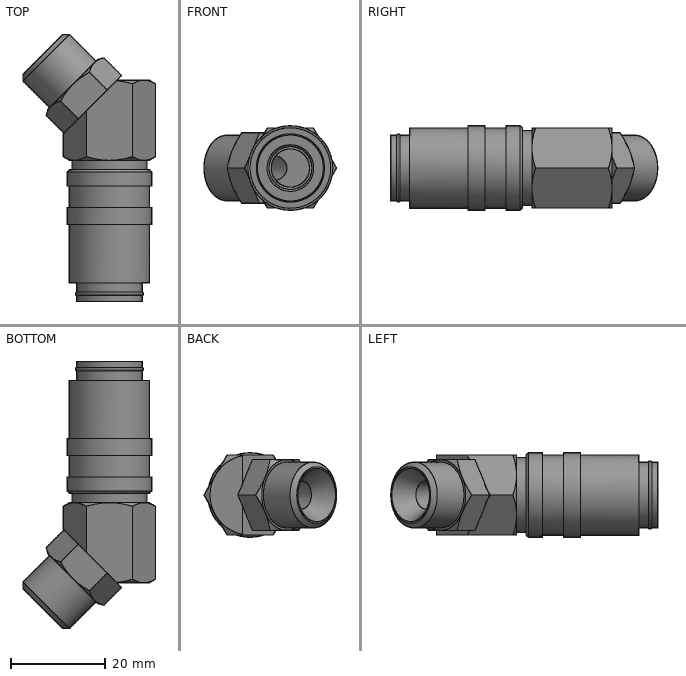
import cadquery as cq
import math

OUTLET_ANGLE = 45.0
ELBOW_Y = 38.34

SPIGOT_DIAMETER = 14.0
SPIGOT_LENGTH = 4.0
SLEEVE_DIAMETER = 17.1
COLLAR_DIAMETER = 18.0
LOWER_COLLAR_START = 16.4
LOWER_COLLAR_END = 20.0
UPPER_COLLAR_START = 24.5
UPPER_COLLAR_END = 28.0
COLLAR_CHAMFER = 0.5
NECK_DIAMETER = 16.0

RING_OUTER_DIAMETER = 14.5
RING_SECTION_RADIUS = 0.4
RING_Y = 1.65

HEX_SIDES = 6
BODY_HEX_FLATS = 17.0
BODY_HEX_START = 30.0
BODY_HEX_END = 47.0
NUT_FLATS = 15.0
NUT_START = 5.0
NUT_END = 11.0
HEX_CHAMFER_ANGLE = 30.0

STUB_DIAMETER = 14.0
STUB_END = 20.0
STUB_CHAMFER = 1.0

MOUTH_DIAMETER = 9.9
COUPLING_BORE_DIAMETER = 9.1
COUPLING_BORE_DEPTH = 20.0
BORE_DIAMETER = 8.1
BORE_DEPTH = 43.3

OUTLET_BORE_DIAMETER = 6.0
SEAT_DIAMETER = 11.3
SEAT_HALF_ANGLE = 30.0

CUT_SIZE = 100.0


def across_corners(flats):
    return flats / math.cos(math.pi / HEX_SIDES)


def revolve_profile(points):
    """Turn (radius, y) points around the Y axis."""
    return cq.Workplane("XY").polyline(points).close().revolve(360, (0, 0, 0), (0, 1, 0))


def cylinder(diameter, start, end):
    radius = diameter / 2
    return revolve_profile([(0, start), (radius, start), (radius, end), (0, end)])


def hexagon(flats, start, end):
    """Hexagonal bar along Y with two corners in the XY plane."""
    bar = cq.Workplane("XZ", origin=(0, start, 0)).polygon(HEX_SIDES, across_corners(flats))
    return bar.extrude(start - end)


def corner_chamfer_limit(flats, start, end, chamfer_both_ends):
    """Turned envelope that takes the corners off a hexagonal bar at its far end or at both ends."""
    face_radius = flats / 2
    corner_radius = across_corners(flats) / 2
    depth = (corner_radius - face_radius) * math.tan(math.radians(HEX_CHAMFER_ANGLE))
    points = [(0, end), (face_radius, end), (corner_radius, end - depth)]
    if chamfer_both_ends:
        points += [(corner_radius, start + depth), (face_radius, start)]
    else:
        points += [(corner_radius, start)]
    return revolve_profile(points + [(0, start)])


def chamfered_hexagon(flats, start, end, chamfer_both_ends):
    return hexagon(flats, start, end).intersect(corner_chamfer_limit(flats, start, end, chamfer_both_ends))


def to_outlet_axis(solid):
    """Move a solid built along +Y from the origin onto the outlet axis."""
    return solid.rotate((0, 0, 0), (0, 0, 1), OUTLET_ANGLE).translate((0, ELBOW_Y, 0))


def make_turned_body():
    spigot = SPIGOT_DIAMETER / 2
    sleeve = SLEEVE_DIAMETER / 2
    collar = COLLAR_DIAMETER / 2
    neck = NECK_DIAMETER / 2
    return revolve_profile([
        (0, 0),
        (spigot, 0),
        (spigot, SPIGOT_LENGTH),
        (sleeve, SPIGOT_LENGTH),
        (sleeve, LOWER_COLLAR_START),
        (collar, LOWER_COLLAR_START),
        (collar, LOWER_COLLAR_END),
        (sleeve, LOWER_COLLAR_END),
        (sleeve, UPPER_COLLAR_START),
        (collar, UPPER_COLLAR_START),
        (collar, UPPER_COLLAR_END - COLLAR_CHAMFER),
        (collar - COLLAR_CHAMFER, UPPER_COLLAR_END),
        (neck, UPPER_COLLAR_END),
        (neck, BODY_HEX_START),
        (0, BODY_HEX_START),
    ])


def make_sealing_ring():
    center_radius = RING_OUTER_DIAMETER / 2 - RING_SECTION_RADIUS
    section = cq.Workplane("XY").center(center_radius, RING_Y).circle(RING_SECTION_RADIUS)
    return section.revolve(360, (-center_radius, 0, 0), (-center_radius, 1, 0))


def make_body_hex():
    """Hexagonal body, cut off square to the outlet axis where the nut sits."""
    body = chamfered_hexagon(BODY_HEX_FLATS, BODY_HEX_START, BODY_HEX_END, True)
    beyond_nut_seat = cq.Workplane("XY").box(CUT_SIZE, CUT_SIZE, CUT_SIZE)
    beyond_nut_seat = beyond_nut_seat.translate((0, NUT_START + CUT_SIZE / 2, 0))
    return body.cut(to_outlet_axis(beyond_nut_seat))


def make_outlet():
    nut = chamfered_hexagon(NUT_FLATS, NUT_START, NUT_END, False)
    stub = cylinder(STUB_DIAMETER, NUT_START, STUB_END).faces(">Y").chamfer(STUB_CHAMFER)
    return to_outlet_axis(nut.union(stub))


def make_main_bore():
    mouth = MOUTH_DIAMETER / 2
    coupling = COUPLING_BORE_DIAMETER / 2
    bore = BORE_DIAMETER / 2
    mouth_chamfer = mouth - coupling
    return revolve_profile([
        (0, 0),
        (mouth, 0),
        (coupling, mouth_chamfer),
        (coupling, COUPLING_BORE_DEPTH),
        (bore, COUPLING_BORE_DEPTH),
        (bore, BORE_DEPTH),
        (0, BORE_DEPTH),
    ])


def make_outlet_bore():
    bore = OUTLET_BORE_DIAMETER / 2
    seat = SEAT_DIAMETER / 2
    seat_depth = (seat - bore) / math.tan(math.radians(SEAT_HALF_ANGLE))
    return to_outlet_axis(revolve_profile([
        (0, 0),
        (bore, 0),
        (bore, STUB_END - seat_depth),
        (seat, STUB_END),
        (0, STUB_END),
    ]))


outside = make_turned_body().union(make_sealing_ring()).union(make_body_hex()).union(make_outlet())
result = outside.cut(make_main_bore()).cut(make_outlet_bore())